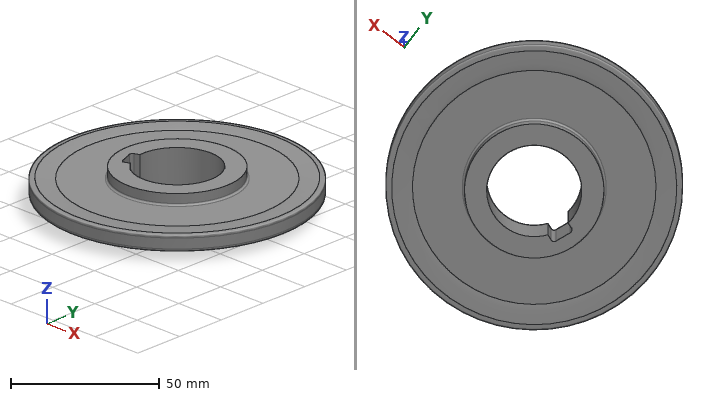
import cadquery as cq

hub_diameter = 47.0
hub_length = 14.0
core_diameter = 82.0
web_thickness = 5.2
root_fillet_radius = 0.75

bore_diameter = 32.0
keyway_width = 8.0
keyway_floor_gauge = 34.8
keyway_corner_radius = 1.2
keyway_angle = 201.0

swell_shoulder_width = 0.6
swell_shoulder_rise = 0.3

wheel_diameter = 100.0
rim_thickness = 6.0
rim_width = 2.0
rim_edge_depth = 1.0

hub_radius = hub_diameter / 2
core_radius = core_diameter / 2
wheel_radius = wheel_diameter / 2
rim_inner_radius = wheel_radius - rim_width
half_hub = hub_length / 2
half_web = web_thickness / 2
half_rim = rim_thickness / 2
keyway_reach = keyway_floor_gauge - bore_diameter / 2


def turn(profile):
    """Revolve a closed radius-height profile about Z."""
    return profile.revolve(360, (0, 0, 0), (0, 1, 0))


def make_keyway_cutter():
    """Radial bar inside the bore whose outer end forms the rounded keyway floor."""
    bar_length = bore_diameter / 2
    return (
        cq.Workplane("XY")
        .box(bar_length, keyway_width, hub_length)
        .translate((keyway_reach - bar_length / 2, 0, 0))
        .edges("|Z and >X")
        .fillet(keyway_corner_radius)
        .rotate((0, 0, 0), (0, 0, 1), keyway_angle)
    )


def make_core():
    """Hub with a central web, filleted on both faces, bored and keyed."""
    hub = cq.Workplane("XY").circle(hub_radius).extrude(half_hub, both=True)
    web = cq.Workplane("XY").circle(core_radius).extrude(half_web, both=True)
    root_edges = cq.selectors.BoxSelector(
        (-hub_diameter, -hub_diameter, -half_web - root_fillet_radius),
        (hub_diameter, hub_diameter, half_web + root_fillet_radius),
    )
    body = hub.union(web)
    body = body.edges(root_edges).edges(cq.selectors.RadiusNthSelector(0)).fillet(root_fillet_radius)
    bore = cq.Workplane("XY").circle(bore_diameter / 2).extrude(half_hub, both=True)
    return body.cut(bore).cut(make_keyway_cutter())


def make_carrier():
    """Ring around the core whose faces curve outwards to the rim thickness."""
    shoulder_radius = core_radius + swell_shoulder_width
    shoulder_height = half_web + swell_shoulder_rise
    profile = (
        cq.Workplane("XZ")
        .moveTo(core_radius, -half_web)
        .lineTo(core_radius, half_web)
        .bezier([(shoulder_radius, shoulder_height), (rim_inner_radius, half_rim)], includeCurrent=True)
        .lineTo(rim_inner_radius, -half_rim)
        .bezier([(shoulder_radius, -shoulder_height), (core_radius, -half_web)], includeCurrent=True)
        .close()
    )
    return turn(profile)


def make_rim():
    """Outer ring with tight, smoothly blended edges; the doubled corner pulls each curve outwards."""
    land_height = half_rim - rim_edge_depth
    top_corner = (wheel_radius, half_rim)
    bottom_corner = (wheel_radius, -half_rim)
    profile = (
        cq.Workplane("XZ")
        .moveTo(rim_inner_radius, -half_rim)
        .lineTo(rim_inner_radius, half_rim)
        .bezier([top_corner, top_corner, (wheel_radius, land_height)], includeCurrent=True)
        .lineTo(wheel_radius, -land_height)
        .bezier([bottom_corner, bottom_corner, (rim_inner_radius, -half_rim)], includeCurrent=True)
        .close()
    )
    return turn(profile)


core = make_core()
carrier = make_carrier()
rim = make_rim()

result = cq.Compound.makeCompound([core.val(), carrier.val(), rim.val()])